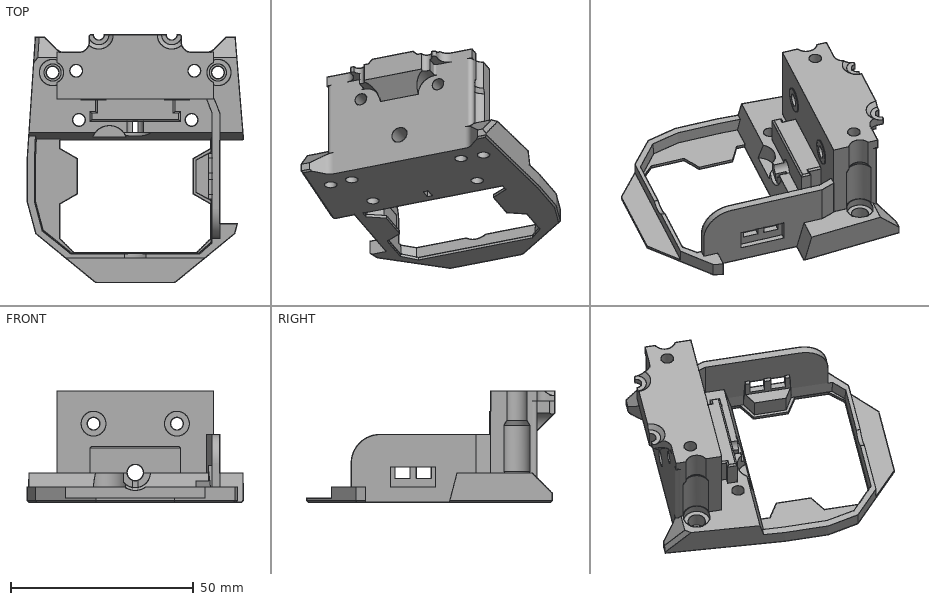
import cadquery as cq
import math


WIDTH = 59.4
HEIGHT = 30.6
MARGIN = 0.7
BACK_Y = 17.65
FRONT_Y = -50.5

HALF_WIDTH = WIDTH / 2
FRAME_HEIGHT = 4.2
BASE_HEIGHT = 8.1
BASE_BACK_Y = 17.0
BASE_BACK_HALF = 27.5
WIDEST_BACK_Y = -16.15
WIDEST_FRONT_Y = -28.3
SHOULDER_HALF = 27.35
SHOULDER_Y = -37.0
NOSE_HALF = 10.85
BOTTOM_CHAMFER = 0.5
BASE_FRONT_TOP_Y = -9.2
BASE_FRONT_BOTTOM_Y = -11.3
BASE_FRONT_SLOPE = (BASE_FRONT_TOP_Y - BASE_FRONT_BOTTOM_Y) / BASE_HEIGHT
FRAME_STEP_Y = BASE_FRONT_BOTTOM_Y + BASE_FRONT_SLOPE * FRAME_HEIGHT
REAR_EDGE_HEIGHT = 2.5
REAR_SLOPE_RUN = BASE_HEIGHT - REAR_EDGE_HEIGHT
SIDE_BEVEL = 1.1

FLANGE_HEIGHT = 1.15
FLANGE_BACK_Y = -43.7
FLOOR_HEIGHT = 0.8
WALL_INNER_HALF = 27.7
WALL_INNER_FRONT_Y = -42.6
WALL_SHOULDER_HALF = 25.55
WALL_SHOULDER_Y = -36.3
WALL_NOSE_HALF = 17.65
ARM_CORNER_Y = -39.55
WALL_DRAFT = 5
OPENING_HALF = 20.7
OPENING_FRONT_Y = -42.2
OPENING_CORNER = 3.8
TAB_REACH = 4.85
TAB_MID_Y = -21.3
TAB_HALF_ROOT = 7.65
TAB_HALF_TIP = 4.85

ARM_INNER_X = 21.1
ARM_THICKNESS = 2.1
ARM_OUTER_X = ARM_INNER_X + ARM_THICKNESS
ARM_HEIGHT = 18.7
ARM_FRONT_Y = -38.3
ARM_NOSE_RADIUS = 8.0
ARM_BEND_Y = -3.95
ARM_BEND_SHIFT = 1.6
SIDE_GAP_FRONT_Y = -34.3

CATCH_INSET = 0.8
CATCH_HEIGHT = 5.8
POST_DEPTH = 1.0
POST_TOP = 10.15
POST_HALF_SPAN = 6.2
POST_ROOT_HALF_SPAN = 6.8
WINDOW_SILL = 6.6
WINDOW_TOP = 9.7
WINDOW_WIDTH = 4.1
WINDOW_PITCH = 5.85
WINDOW_WEB = 0.7

BLOCK_HALF = 21.55
BLOCK_BACK_Y = 12.8
BLOCK_CORNER_RADIUS = 1.3
CAP_BOTTOM = 27.8
OVERHANG_HALF = 12.7
OVERHANG_BOTTOM = 24.55
OVERHANG_FILLET = 2.7
OVERHANG_TIP_RADIUS = 0.6
OVERHANG_BODY_HALF = 10.4
OVERHANG_BODY_FILLET = 0.6
RELIEF_HALF = 24.95
RELIEF_FILLET = 2.7

SCREW_DIA = 3.4
NOTCH_X = 10.0
NOTCH_DIA = 3.0
NOTCH_SINK_DIA = 8.0
NOTCH_SINK_FLOOR_DIA = 5.6
BLOCK_SCREW_X = 16.2
BLOCK_SCREW_Y = 7.7
BASE_SCREW_X = 15.5
BASE_SCREW_Y = -5.8
CROSS_X = 11.45
CROSS_Z = 21.6
WASHER_DIA = 6.8
WASHER_PROUD = 0.3
EAR_X = 22.7
EAR_Y = 7.2
EAR_WELL_DIA = 7.5
EAR_RECESS_DIA = 7.2
EAR_LEDGE = 8.45
EAR_HOLE_DIA = 4.7
EAR_UPPER_DIA = 6.0
EAR_FLOOR = 6.3
EAR_HOLE_FLOOR = 2.05
EAR_CONE_BOTTOM = 21.1
EAR_CONE_TOP = 22.5

PAD_HEAD_HALF = 12.4
PAD_STEM_HALF = 10.9
PAD_FRONT_Y = -6.2
PAD_HEAD_BACK_Y = -3.5
PAD_TOP = 15.4
PAD_CHAMFER = 0.5
BORE_DIA = 4.4
BORE_Z = 8.2
BORE_RECESS_DIA = 8.3
BORE_SLOT_WIDTH = 1.4
TOOL_DIA = 9.8
SCOOP_X = -7.1
SCOOP_Y = -12.3
SCOOP_FLOOR = 3.3


def box(x0, x1, y0, y1, z0, z1):
    """Axis-aligned box between the given limits."""
    return cq.Workplane("XY").box(x1 - x0, y1 - y0, z1 - z0, centered=False).translate((x0, y0, z0))


def prism(points, z0, z1):
    """Plan outline raised from z0 to z1."""
    return cq.Workplane("XY").workplane(offset=z0).polyline(points).close().extrude(z1 - z0)


def side_prism(points, x0, x1):
    """Outline of (Y, Z) points stretched along X from x0 to x1."""
    return cq.Workplane("YZ").workplane(offset=x0).polyline(points).close().extrude(x1 - x0)


def rod(dia, x, y, z0, z1):
    """Vertical cylinder."""
    return cq.Workplane("XY").workplane(offset=z0).center(x, y).circle(dia / 2).extrude(z1 - z0)


def rod_y(dia, x, z, y0, y1):
    """Cylinder along Y."""
    return cq.Workplane("XZ").workplane(offset=-y0).center(x, z).circle(dia / 2).extrude(y0 - y1)


def cone(bottom_dia, top_dia, x, y, z0, z1):
    """Vertical cone frustum."""
    lower = cq.Workplane("XY").workplane(offset=z0).center(x, y).circle(bottom_dia / 2)
    return lower.workplane(offset=z1 - z0).circle(top_dia / 2).loft()


def mirrored(points):
    """Closed symmetric outline from the points of its +X half."""
    return points + [(-x, y) for x, y in reversed(points)]


def make_plate():
    """Chamfered footprint: tall base at the back, low frame, thin flange at the nose."""
    outline = [
        (BASE_BACK_HALF, BASE_BACK_Y),
        (HALF_WIDTH, FRAME_STEP_Y),
        (HALF_WIDTH, WIDEST_FRONT_Y),
        (SHOULDER_HALF, SHOULDER_Y),
        (NOSE_HALF, FRONT_Y),
        (-NOSE_HALF, FRONT_Y),
        (-SHOULDER_HALF, SHOULDER_Y),
        (-HALF_WIDTH, WIDEST_FRONT_Y),
        (-HALF_WIDTH, WIDEST_BACK_Y),
        (-BASE_BACK_HALF, BASE_BACK_Y),
    ]
    plate = prism(outline, 0, BASE_HEIGHT).faces("<Z").edges().chamfer(BOTTOM_CHAMFER)
    side_profile = [
        (FRONT_Y, 0),
        (FRONT_Y, FLANGE_HEIGHT),
        (FLANGE_BACK_Y, FLANGE_HEIGHT),
        (FLANGE_BACK_Y, FRAME_HEIGHT),
        (FRAME_STEP_Y, FRAME_HEIGHT),
        (BASE_FRONT_TOP_Y, BASE_HEIGHT),
        (BASE_BACK_Y - REAR_SLOPE_RUN, BASE_HEIGHT),
        (BASE_BACK_Y, REAR_EDGE_HEIGHT),
        (BASE_BACK_Y, 0),
    ]
    plate = plate.intersect(side_prism(side_profile, -HALF_WIDTH, HALF_WIDTH))
    corner = (-BASE_BACK_HALF, BASE_BACK_Y - REAR_SLOPE_RUN / 2, (BASE_HEIGHT + REAR_EDGE_HEIGHT) / 2)
    edge = plate.edges(cq.selectors.NearestToPointSelector(corner))
    return edge.chamfer(SIDE_BEVEL)


def in_front_of_base(cutter):
    """Part of a cutter that lies in front of the sloped front face of the base."""
    side_profile = [
        (FRONT_Y, 0),
        (BASE_FRONT_BOTTOM_Y, 0),
        (BASE_FRONT_TOP_Y, BASE_HEIGHT),
        (FRONT_Y, BASE_HEIGHT),
    ]
    reach = HALF_WIDTH + MARGIN
    return cutter.intersect(side_prism(side_profile, -reach, reach))


def cut_frame(plate):
    """Hollow the frame, open its floor and clear the strip outside the arm."""
    inner = [
        (-WALL_INNER_HALF + MARGIN, 0),
        (-WALL_INNER_HALF, WIDEST_BACK_Y),
        (-WALL_INNER_HALF, WIDEST_FRONT_Y),
        (-WALL_SHOULDER_HALF, WALL_SHOULDER_Y),
        (-WALL_NOSE_HALF, WALL_INNER_FRONT_Y),
        (WALL_NOSE_HALF, WALL_INNER_FRONT_Y),
        (ARM_INNER_X, ARM_CORNER_Y),
        (ARM_INNER_X, 0),
    ]
    pocket = (
        cq.Workplane("XY").workplane(offset=FRAME_HEIGHT).polyline(inner).close()
        .extrude(FLOOR_HEIGHT - FRAME_HEIGHT, taper=WALL_DRAFT)
    )
    tab = OPENING_HALF - TAB_REACH
    opening = mirrored([
        (OPENING_HALF, 0),
        (OPENING_HALF, TAB_MID_Y + TAB_HALF_ROOT),
        (tab, TAB_MID_Y + TAB_HALF_TIP),
        (tab, TAB_MID_Y - TAB_HALF_TIP),
        (OPENING_HALF, TAB_MID_Y - TAB_HALF_ROOT),
        (OPENING_HALF, OPENING_FRONT_Y + OPENING_CORNER),
        (OPENING_HALF - OPENING_CORNER, OPENING_FRONT_Y),
    ])
    side_gap = [
        (ARM_OUTER_X, 0),
        (HALF_WIDTH + MARGIN, 0),
        (HALF_WIDTH + MARGIN, SIDE_GAP_FRONT_Y),
        (ARM_OUTER_X, SIDE_GAP_FRONT_Y),
    ]
    plate = plate.cut(in_front_of_base(pocket))
    plate = plate.cut(in_front_of_base(prism(opening, 0, BASE_HEIGHT)))
    return plate.cut(in_front_of_base(prism(side_gap, 0, BASE_HEIGHT)))


def make_arm():
    """Upright arm with a kink into the block and a rounded top front corner."""
    path = [
        (ARM_INNER_X - ARM_BEND_SHIFT, 0),
        (ARM_INNER_X, ARM_BEND_Y),
        (ARM_INNER_X, ARM_FRONT_Y),
        (ARM_OUTER_X, ARM_FRONT_Y),
        (ARM_OUTER_X, ARM_BEND_Y),
        (ARM_OUTER_X - ARM_BEND_SHIFT, 0),
    ]
    arm = prism(path, 0, ARM_HEIGHT)
    return arm.edges("|X and >Z and <Y").fillet(ARM_NOSE_RADIUS)


def make_catch():
    """Wedge-sided catch with three posts on the inner face of the arm."""
    tip_x = OPENING_HALF - TAB_REACH + CATCH_INSET
    tip = TAB_HALF_TIP - CATCH_INSET / 2
    wedge = prism([
        (ARM_INNER_X, TAB_MID_Y + POST_ROOT_HALF_SPAN),
        (tip_x, TAB_MID_Y + tip),
        (tip_x, TAB_MID_Y - tip),
        (ARM_INNER_X, TAB_MID_Y - POST_ROOT_HALF_SPAN),
    ], 0, POST_TOP)
    leaning_ends = side_prism([
        (TAB_MID_Y - POST_ROOT_HALF_SPAN, 0),
        (TAB_MID_Y + POST_ROOT_HALF_SPAN, 0),
        (TAB_MID_Y + POST_HALF_SPAN, POST_TOP),
        (TAB_MID_Y - POST_HALF_SPAN, POST_TOP),
    ], tip_x, ARM_INNER_X)
    y0 = TAB_MID_Y - POST_ROOT_HALF_SPAN
    y1 = TAB_MID_Y + POST_ROOT_HALF_SPAN
    step = box(tip_x, ARM_INNER_X - POST_DEPTH, y0, y1, CATCH_HEIGHT, POST_TOP)
    return wedge.intersect(leaning_ends).cut(step)


def cut_windows(body):
    """Two windows through the arm, open between the posts, thinned from the arm's outer face."""
    for side in (-1, 1):
        y = TAB_MID_Y + side * WINDOW_PITCH / 2
        y0 = y - WINDOW_WIDTH / 2
        y1 = y + WINDOW_WIDTH / 2
        body = body.cut(box(ARM_INNER_X, ARM_OUTER_X, y0, y1, WINDOW_SILL, WINDOW_TOP))
        body = body.cut(box(ARM_INNER_X - POST_DEPTH, ARM_INNER_X, y0, y1, WINDOW_SILL, POST_TOP))
    y0 = TAB_MID_Y - POST_HALF_SPAN
    y1 = TAB_MID_Y + POST_HALF_SPAN
    return body.cut(box(ARM_INNER_X + WINDOW_WEB, ARM_OUTER_X, y0, y1, FRAME_HEIGHT, WINDOW_TOP))


def overhang_outline(half, radius):
    """Plan outline of a rear overhang that flares into the block with concave arcs."""
    flare = half + radius
    shoulder_y = BLOCK_BACK_Y + radius
    bend = radius * (1 - math.sqrt(0.5))
    return (
        cq.Workplane("XY")
        .moveTo(-flare, 0)
        .lineTo(flare, 0)
        .lineTo(flare, BLOCK_BACK_Y)
        .threePointArc((half + bend, BLOCK_BACK_Y + bend), (half, shoulder_y))
        .lineTo(half, BACK_Y)
        .lineTo(-half, BACK_Y)
        .lineTo(-half, shoulder_y)
        .threePointArc((-half - bend, BLOCK_BACK_Y + bend), (-flare, BLOCK_BACK_Y))
        .close()
    )


def make_block():
    """Upright block with a narrower overhang at the back, hollowed and sloped underneath."""
    cap = box(-BLOCK_HALF, BLOCK_HALF, 0, BLOCK_BACK_Y, CAP_BOTTOM, HEIGHT)
    lower = box(-BLOCK_HALF, BLOCK_HALF, 0, BLOCK_BACK_Y, 0, CAP_BOTTOM)
    lower = lower.edges("|Z and >Y").fillet(BLOCK_CORNER_RADIUS)

    body = overhang_outline(OVERHANG_BODY_HALF, OVERHANG_BODY_FILLET).extrude(HEIGHT)
    lip = overhang_outline(OVERHANG_HALF, OVERHANG_FILLET).extrude(HEIGHT)
    lip = lip.edges("|Z and >Y").fillet(OVERHANG_TIP_RADIUS)
    lip = lip.intersect(box(-BLOCK_HALF, BLOCK_HALF, 0, BACK_Y, CAP_BOTTOM, HEIGHT))
    reach = BACK_Y - BLOCK_BACK_Y
    slope_end = OVERHANG_BOTTOM - reach
    neck_half = OVERHANG_BODY_HALF - reach
    bend_x = OVERHANG_BODY_HALF - reach * math.sqrt(0.5)
    bend_z = slope_end + reach * math.sqrt(0.5)
    hull = (
        cq.Workplane("XZ")
        .moveTo(-BLOCK_HALF, HEIGHT)
        .lineTo(BLOCK_HALF, HEIGHT)
        .lineTo(BLOCK_HALF, OVERHANG_BOTTOM)
        .lineTo(OVERHANG_BODY_HALF, OVERHANG_BOTTOM)
        .threePointArc((bend_x, bend_z), (neck_half, slope_end))
        .lineTo(-neck_half, slope_end)
        .threePointArc((-bend_x, bend_z), (-OVERHANG_BODY_HALF, OVERHANG_BOTTOM))
        .lineTo(-BLOCK_HALF, OVERHANG_BOTTOM)
        .close()
        .extrude(-BACK_Y)
    )
    overhang = body.union(lip).intersect(hull)
    side_profile = [
        (0, 0),
        (BLOCK_BACK_Y, 0),
        (BLOCK_BACK_Y, slope_end),
        (BACK_Y, OVERHANG_BOTTOM),
        (BACK_Y, HEIGHT),
        (0, HEIGHT),
    ]
    overhang = overhang.intersect(side_prism(side_profile, -BLOCK_HALF, BLOCK_HALF))
    return cap.union(lower).union(overhang)


def make_relief():
    """Cutter for the wide notch in the back of the base, with 45 degree rounded ends."""
    run = BASE_BACK_Y - BLOCK_BACK_Y
    relief = prism(mirrored([
        (RELIEF_HALF + MARGIN, BASE_BACK_Y + MARGIN),
        (RELIEF_HALF - run, BLOCK_BACK_Y),
    ]), 0, BASE_HEIGHT)
    return relief.edges("|Z and <Y").fillet(RELIEF_FILLET)


def make_pad():
    """T-shaped pad in front of the block, chamfered around its top."""
    pad = prism(mirrored([
        (PAD_STEM_HALF, MARGIN),
        (PAD_STEM_HALF, PAD_HEAD_BACK_Y),
        (PAD_HEAD_HALF, PAD_HEAD_BACK_Y),
        (PAD_HEAD_HALF, PAD_FRONT_Y),
    ]), BASE_HEIGHT - MARGIN, PAD_TOP)
    return pad.faces(">Z").edges().chamfer(PAD_CHAMFER)


def cut_ear(body, x):
    """Stepped screw well beside the block, with its tool clearance above."""
    body = body.cut(rod(SCREW_DIA, x, EAR_Y, 0, EAR_FLOOR))
    body = body.cut(rod(EAR_HOLE_DIA, x, EAR_Y, EAR_HOLE_FLOOR, EAR_FLOOR))
    body = body.cut(rod(EAR_RECESS_DIA, x, EAR_Y, EAR_FLOOR, EAR_LEDGE))
    body = body.cut(rod(EAR_WELL_DIA, x, EAR_Y, EAR_LEDGE, EAR_CONE_BOTTOM))
    body = body.cut(cone(EAR_WELL_DIA, EAR_UPPER_DIA, x, EAR_Y, EAR_CONE_BOTTOM, EAR_CONE_TOP))
    return body.cut(rod(EAR_UPPER_DIA, x, EAR_Y, EAR_CONE_TOP, HEIGHT))


def cut_back_notch(body, x):
    """Half hole on the back edge with a countersink in the top."""
    floor = HEIGHT - (NOTCH_SINK_DIA - NOTCH_SINK_FLOOR_DIA) / 2
    body = body.cut(rod(NOTCH_DIA, x, BACK_Y, BASE_HEIGHT, HEIGHT))
    return body.cut(cone(NOTCH_SINK_FLOOR_DIA, NOTCH_SINK_DIA, x, BACK_Y, floor, HEIGHT))


def cut_centre(body):
    """Centre bore along Y, its recess, drain slot, tool groove and the scoop beside it."""
    body = body.cut(rod_y(BORE_DIA, 0, BORE_Z, BACK_Y, FRONT_Y))
    body = body.cut(rod_y(BORE_RECESS_DIA, 0, BORE_Z, BASE_FRONT_TOP_Y, BASE_FRONT_BOTTOM_Y))
    body = body.cut(rod_y(TOOL_DIA, 0, BORE_Z, BASE_FRONT_BOTTOM_Y, FRONT_Y))
    half = BORE_SLOT_WIDTH / 2
    body = body.cut(box(-half, half, BASE_FRONT_TOP_Y, PAD_FRONT_Y, 0, BORE_Z))
    return body.cut(rod(TOOL_DIA, SCOOP_X, SCOOP_Y, SCOOP_FLOOR, BASE_HEIGHT))


plate = cut_frame(make_plate())
result = plate.union(make_block()).cut(make_relief()).union(make_pad())
result = cut_centre(result)
result = result.union(make_arm()).union(make_catch())
result = cut_windows(result)
for side in (-1, 1):
    result = result.union(rod_y(WASHER_DIA, side * CROSS_X, CROSS_Z, MARGIN, -WASHER_PROUD))
    result = result.cut(rod_y(SCREW_DIA, side * CROSS_X, CROSS_Z, BACK_Y, -WASHER_PROUD))
    result = result.cut(rod(SCREW_DIA, side * BLOCK_SCREW_X, BLOCK_SCREW_Y, 0, HEIGHT))
    result = result.cut(rod(SCREW_DIA, side * BASE_SCREW_X, BASE_SCREW_Y, 0, BASE_HEIGHT))
    result = cut_ear(result, side * EAR_X)
    result = cut_back_notch(result, side * NOTCH_X)